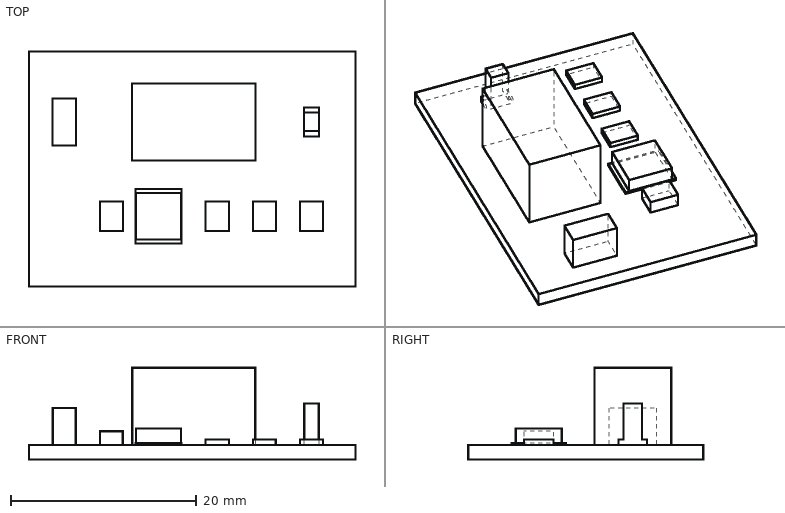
import cadquery as cq

grid = 2.54

board_length = 35.23
board_width = 25.39
board_thickness = 1.57
overall_height = 9.92

front_row_y = 3 * grid
back_row_y = 7 * grid

relay_length = 13.3
relay_width = 8.3
relay_height = overall_height - board_thickness
relay_x = 7 * grid

block_length = 2.5
block_width = 5.1
block_height = 4.0
block_x = 1.5 * grid

chip_length = 2.5
chip_width = 3.2
capacitor_height = 1.5
capacitor_x = 3.5 * grid
resistor_height = 0.6
resistor_count = 3
resistor_pitch = 2 * grid
first_resistor_x = 8 * grid

power_plate_length = 5.0
power_plate_width = 5.9
power_plate_thickness = 0.2
power_body_length = 4.9
power_body_width = 5.0
power_height = 1.8
power_x = 5.5 * grid

lamp_length = 1.6
lamp_foot_width = 3.1
lamp_foot_thickness = 0.6
lamp_post_width = 2.0
lamp_height = 4.5
lamp_x = 12 * grid


def box_on_board(x, y, length, width, height):
    """Box centred at (x, y) that stands on the top face of the board."""
    return (
        cq.Workplane("XY", origin=(x, y, board_thickness))
        .box(length, width, height, centered=(True, True, False))
    )


def make_board():
    return cq.Workplane("XY").box(board_length, board_width, board_thickness, centered=False)


def make_relay():
    return box_on_board(relay_x, back_row_y, relay_length, relay_width, relay_height)


def make_block():
    return box_on_board(block_x, back_row_y, block_length, block_width, block_height)


def make_capacitor():
    return box_on_board(capacitor_x, front_row_y, chip_length, chip_width, capacitor_height)


def make_resistor(index):
    x = first_resistor_x + index * resistor_pitch
    return box_on_board(x, front_row_y, chip_length, chip_width, resistor_height)


def make_power_package():
    plate = box_on_board(
        power_x, front_row_y, power_plate_length, power_plate_width, power_plate_thickness
    )
    body = box_on_board(power_x, front_row_y, power_body_length, power_body_width, power_height)
    return plate.union(body)


def make_lamp():
    foot = box_on_board(lamp_x, back_row_y, lamp_length, lamp_foot_width, lamp_foot_thickness)
    post = box_on_board(lamp_x, back_row_y, lamp_length, lamp_post_width, lamp_height)
    return foot.union(post)


board = make_board()
relay = make_relay()
block = make_block()
capacitor = make_capacitor()
power_package = make_power_package()
lamp = make_lamp()
resistors = [make_resistor(index) for index in range(resistor_count)]

result = cq.Compound.makeCompound(
    [
        board.val(),
        relay.val(),
        block.val(),
        capacitor.val(),
        power_package.val(),
        lamp.val(),
        *[resistor.val() for resistor in resistors],
    ]
)